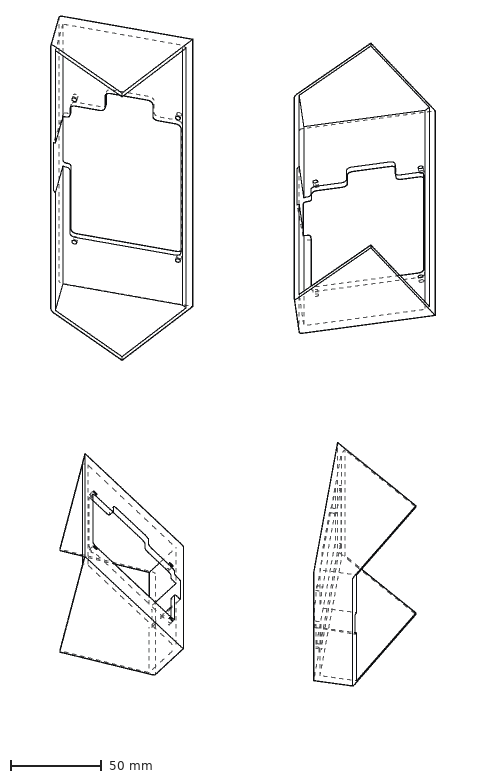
import cadquery as cq
import math

width = 65.64
depth = 56.28
height = 214.0
wall = 3.0
back_angle = 30.0
front_left_x = -54.2
end_round = 2.0

window_left = 7.0
window_right = 69.8
window_bottom = -65.0
window_top = 40.0
tab_left = 26.9
tab_right = 53.9
tab_top = 55.0
corner_radius = 3.0

relief_left = 2.4
relief_bottom = -10.0
relief_top = 30.0
relief_radius = 2.0

hole_diameter = 2.7
hole_distances = (9.5, 68.1)
hole_heights = (45.0, -69.0)

slope = math.tan(math.radians(back_angle))
slope_cos = math.cos(math.radians(back_angle))
slope_sin = math.sin(math.radians(back_angle))
corner_y = depth - width * slope

left_lean = (front_left_x + width) / corner_y
left_gap = wall * math.hypot(1, left_lean)
back_gap = wall / slope_cos
inner_front_x = front_left_x + left_gap
inner_corner_x = (inner_front_x - left_lean * (depth - back_gap)) / (1 + left_lean * slope)
inner_corner_y = depth - back_gap + inner_corner_x * slope
lip_y = depth - back_gap - wall * slope

back_plane = cq.Plane(
    origin=(-width, corner_y, 0),
    xDir=(slope_cos, slope_sin, 0),
    normal=(slope_sin, -slope_cos, 0),
)


def make_body():
    """Four-sided prism with its two end edges along the left wall rounded."""
    outline = [(0, 0), (0, depth), (-width, corner_y), (front_left_x, 0)]
    body = cq.Workplane("XY").polyline(outline).close().extrude(height / 2, both=True)
    return body.faces("<X").edges("not |Z").fillet(end_round)


def make_cavity():
    """Inside of the box, open at the front and on the right up to the lip of the back wall."""
    outline = [
        (0, 0),
        (0, lip_y),
        (-wall, lip_y),
        (inner_corner_x, inner_corner_y),
        (inner_front_x, 0),
    ]
    return cq.Workplane("XY").polyline(outline).close().extrude(height / 2 - wall, both=True)


def make_opening():
    """Window with a tab on top and a relief on the left, cut square to the back wall."""
    outline = [
        (window_left, window_bottom),
        (window_right, window_bottom),
        (window_right, window_top),
        (tab_right, window_top),
        (tab_right, tab_top),
        (tab_left, tab_top),
        (tab_left, window_top),
        (window_left, window_top),
        (window_left, relief_top),
        (relief_left, relief_top),
        (relief_left, relief_bottom),
        (window_left, relief_bottom),
    ]
    opening = cq.Workplane(back_plane).polyline(outline).close().extrude(depth)
    relief_zone = cq.selectors.BoxSelector(
        (-height, -height, relief_bottom - relief_radius),
        (height, height, relief_top + relief_radius),
    )
    corners = cq.selectors.ParallelDirSelector(back_plane.zDir)
    opening = opening.edges(corners - relief_zone).fillet(corner_radius)
    return opening.edges(corners & relief_zone).fillet(relief_radius)


def make_holes():
    """Four screw holes through the back wall."""
    centers = [(x, z) for x in hole_distances for z in hole_heights]
    return cq.Workplane(back_plane).pushPoints(centers).circle(hole_diameter / 2).extrude(2 * wall)


body = make_body().cut(make_cavity())
result = body.cut(make_opening()).cut(make_holes())